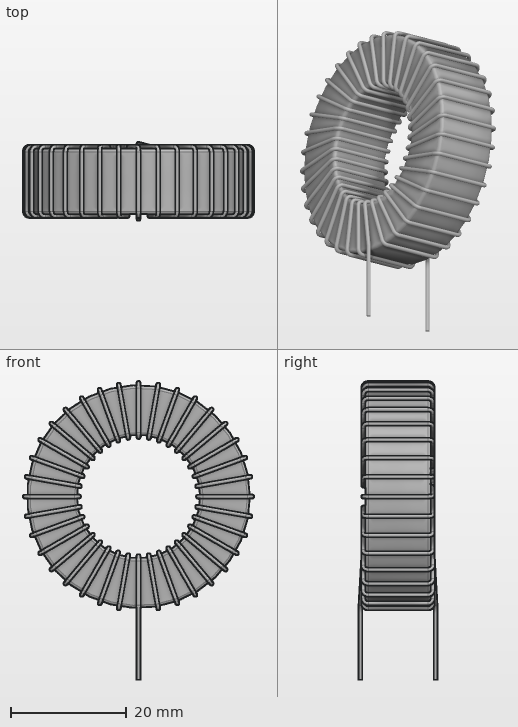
import cadquery as cq
import math

core_outer_diameter = 38.6
core_inner_diameter = 21.3
core_width = 11.3
core_edge_radius = 0.5

wire_diameter = 0.7
winding_clearance = 0.01
pitch_count = 36
pitch_angle = 2 * math.pi / pitch_count

wire_offset = wire_diameter / 2 + winding_clearance
outer_wire_radius = core_outer_diameter / 2 + wire_offset
inner_wire_radius = core_inner_diameter / 2 - wire_offset
wire_side = core_width / 2 + wire_offset
bend_radius = core_edge_radius + wire_offset

lead_spacing = 13.0
lead_side = lead_spacing / 2
lead_knee_z = -(core_outer_diameter / 2 - core_edge_radius)
lead_tip_z = -31.71


def make_core():
    ring = (
        cq.Workplane("XZ", origin=(0, core_width / 2, 0))
        .circle(core_outer_diameter / 2)
        .circle(core_inner_diameter / 2)
        .extrude(core_width)
    )
    return ring.faces("<Y or >Y").edges().fillet(core_edge_radius)


def ring_point(radius, step, y):
    """Point at a winding step, counted from the bottom of the ring towards -X."""
    angle = step * pitch_angle
    return cq.Vector(-radius * math.sin(angle), y, -radius * math.cos(angle))


def winding_corners():
    """Corners of the wire centreline, from the front lead tip to the back lead tip."""
    corners = [cq.Vector(0, -lead_side, lead_tip_z), cq.Vector(0, -lead_side, lead_knee_z)]
    for step in range(pitch_count):
        if step > 0:
            corners.append(ring_point(outer_wire_radius, step, wire_side))
            corners.append(ring_point(outer_wire_radius, step, -wire_side))
        corners.append(ring_point(inner_wire_radius, step, -wire_side))
        corners.append(ring_point(inner_wire_radius, step, wire_side))
    corners.append(cq.Vector(0, lead_side, lead_knee_z))
    corners.append(cq.Vector(0, lead_side, lead_tip_z))
    return corners


def bend(before, corner, after):
    """Start, middle and end points of the tangent arc that rounds a corner."""
    towards_before = (before - corner).normalized()
    towards_after = (after - corner).normalized()
    half_angle = towards_before.getAngle(towards_after) / 2
    setback = bend_radius / math.tan(half_angle)
    arc_distance = bend_radius / math.sin(half_angle) - bend_radius
    bisector = (towards_before + towards_after).normalized()
    return (
        corner + towards_before * setback,
        corner + bisector * arc_distance,
        corner + towards_after * setback,
    )


def rounded_path(corners):
    edges = []
    position = corners[0]
    for before, corner, after in zip(corners, corners[1:], corners[2:]):
        start, middle, end = bend(before, corner, after)
        edges.append(cq.Edge.makeLine(position, start))
        edges.append(cq.Edge.makeThreePointArc(start, middle, end))
        position = end
    edges.append(cq.Edge.makeLine(position, corners[-1]))
    return cq.Wire.assembleEdges(edges)


def make_winding():
    path = rounded_path(winding_corners())
    section = cq.Workplane("XY", origin=(0, -lead_side, lead_tip_z)).circle(wire_diameter / 2)
    return section.sweep(cq.Workplane(obj=path))


core = make_core()
winding = make_winding()

result = cq.Compound.makeCompound([core.val(), winding.val()])